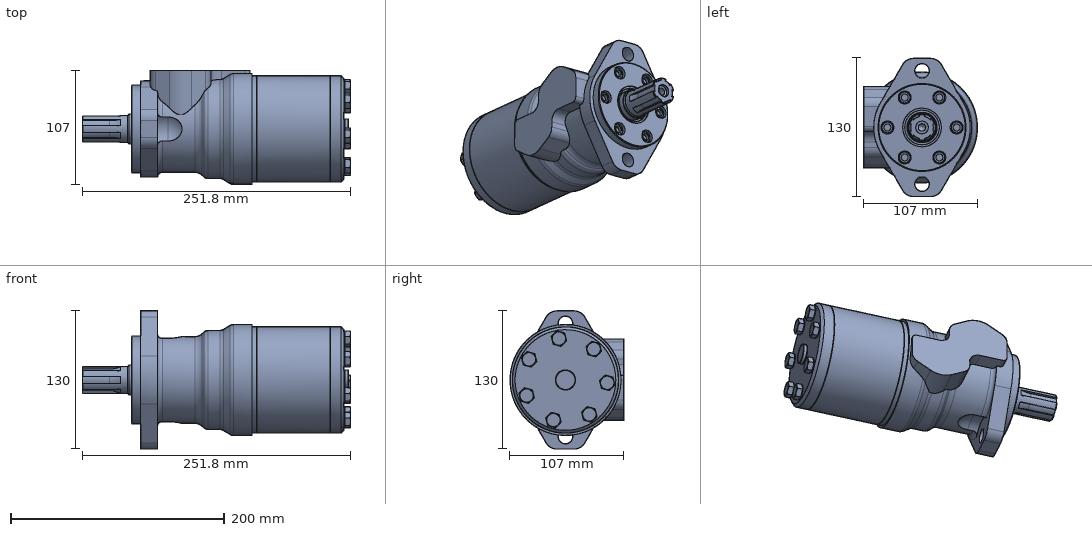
import cadquery as cq
import math


seal_lip_x = 42.3
seal_collar_x = 43.8
cover_x = 46.0
flange_x = 54.6
neck_x = 70.8
housing_end_x = 159.5
ring_x = 163.7
cap_x = 232.7
cap_end_x = 245.5
overall_length = 251.8

overall_width = 107.0
overall_height = 130.0

shaft_radius = 25.5 / 2
shaft_chamfer = 0.8
spline_count = 6
spline_slot_width = 6.3
spline_root_radius = 10.5
spline_flat_length = 25.7
spline_run_out_radius = 24.7
center_bore_radius = 11.8 / 2
center_bore_depth = 3.0
center_hole_radius = 7.0 / 2
center_hole_depth = 15.0

cover_radius = 41.3
cover_chamfer = 0.8
seal_lip_radius = 12.8
seal_root_radius = 13.5
seal_collar_radius = 28.5 / 2
seal_groove_radius = 32.5 / 2
seal_groove_depth = 4.0
seal_mouth_radius = 18.1
seal_mouth_depth = 1.0
screw_count = 6
screw_circle_radius = 32.5
screw_bore_radius = 12.0 / 2
screw_bore_depth = 4.0
screw_head_radius = 10.0 / 2
screw_head_height = 2.0
screw_socket_radius = 6.5 / 2
screw_socket_depth = 3.5

flange_radius = 45.3
flange_half_height = overall_height / 2
flange_side_angle = 30.0
flange_corner_radius = 12.0
flange_hole_radius = 13.3 / 2
flange_hole_offset = 53.1
relief_radius = 18.0
relief_end_x = 80.5

neck_radius = 40.8
neck_fillet = 4.3
shoulder_radius = 46.5
housing_radius = 52.0
neck_cone_start_x = 109.5
neck_cone_end_x = 115.8
shoulder_cone_start_x = 131.0
shoulder_cone_end_x = 140.0
neck_cone_inner_round = 9.3
neck_cone_outer_round = 5.8
shoulder_cone_round = 6.3

port_face_y = overall_width - housing_radius
block_center_x = 110.5
block_center_z = 0.3
lobe_x = 92.2
lobe_peak_z = 38.5
lobe_half_width = 28.5
lobe_slope = 30.0
lobe_peak_round = 20.6
lobe_side_round = 10.0
shelf_height = 4.0
shelf_inner_round = 10.0
shelf_outer_round = 4.5

barrel_radius = 100.0 / 2
seam_chamfer = 0.3
cap_chamfer = 2.8

bolt_count = 7
bolt_circle_radius = 39.3
first_bolt_angle = 99.0
bolt_flats = 13.0
bolt_turn = 14.0
bolt_washer_height = 0.8
bolt_chamfer_height = 0.8
bolt_chamfer_slope = 30.0
plug_neck_radius = 18.0 / 2
plug_radius = 19.0 / 2
plug_end_x = 249.8
plug_chamfer = 0.5

HEX_HALF_STEP = 30.0

MERGE_DISTANCE = 2.52e-06


def rounded_outline(plane, corners):
    """Closed outline from (u, v, radius) corners; a zero radius leaves the corner sharp."""
    pieces = []
    for i, (u, v, radius) in enumerate(corners):
        corner = cq.Vector(u, v)
        if radius == 0:
            pieces.append((corner, None, corner))
            continue
        before = cq.Vector(*corners[i - 1][:2])
        after = cq.Vector(*corners[(i + 1) % len(corners)][:2])
        to_before = (before - corner).normalized()
        to_after = (after - corner).normalized()
        half_angle = to_before.getAngle(to_after) / 2
        setback = radius / math.tan(half_angle)
        arc_gap = radius / math.sin(half_angle) - radius
        middle = corner + (to_before + to_after).normalized() * arc_gap
        pieces.append((corner + to_before * setback, middle, corner + to_after * setback))
    position = pieces[-1][2]
    outline = cq.Workplane(plane).moveTo(*position.toTuple()[:2])
    for start, middle, end in pieces:
        if (start - position).Length > MERGE_DISTANCE:
            outline = outline.lineTo(*start.toTuple()[:2])
        position = end
        if middle is not None:
            outline = outline.threePointArc(middle.toTuple()[:2], end.toTuple()[:2])
    return outline.close()


def revolve_about_x(corners):
    """Solid of revolution about X from (x, r, rounding) corners."""
    return rounded_outline("XY", corners).revolve(360, (0, 0, 0), (1, 0, 0))


def x_cylinder(start_x, end_x, radius):
    return cq.Workplane("YZ", origin=(start_x, 0, 0)).circle(radius).extrude(end_x - start_x)


def ring_points(count, radius, first_angle=0.0):
    """(y, z) points equally spaced on a circle, angles measured from +Y toward +Z."""
    angles = [math.radians(first_angle + 360 * i / count) for i in range(count)]
    return [(radius * math.cos(a), radius * math.sin(a)) for a in angles]


def spline_slots():
    """Slots with a round root that rise to the shaft surface along an arc."""
    slot_depth = shaft_radius - spline_root_radius
    run_out = math.sqrt(2 * spline_run_out_radius * slot_depth - slot_depth**2)
    half_run_out = run_out / 2
    middle_rise = spline_run_out_radius - math.sqrt(spline_run_out_radius**2 - half_run_out**2)
    end_x = spline_flat_length + run_out
    groove = (
        cq.Workplane("XY")
        .moveTo(0, spline_root_radius)
        .lineTo(spline_flat_length, spline_root_radius)
        .threePointArc(
            (spline_flat_length + half_run_out, spline_root_radius + middle_rise),
            (end_x, shaft_radius),
        )
        .lineTo(end_x, 2 * shaft_radius)
        .lineTo(0, 2 * shaft_radius)
        .close()
        .revolve(360, (0, 0, 0), (1, 0, 0))
    )
    bars = cq.Workplane("XY")
    for i in range(spline_count):
        bar = cq.Workplane("XY").box(
            end_x, 2 * shaft_radius, spline_slot_width, centered=(False, False, True)
        )
        bars = bars.add(bar.rotate((0, 0, 0), (1, 0, 0), 360 * i / spline_count))
    return bars.combine().intersect(groove)


def make_shaft():
    shaft = x_cylinder(0, flange_x, shaft_radius).faces("<X").chamfer(shaft_chamfer)
    shaft = shaft.cut(spline_slots())
    center_hole = revolve_about_x([
        (0, 0, 0),
        (0, center_bore_radius, 0),
        (center_bore_depth, center_bore_radius, 0),
        (center_bore_depth, center_hole_radius, 0),
        (center_hole_depth, center_hole_radius, 0),
        (center_hole_depth + center_hole_radius, 0, 0),
    ])
    return shaft.cut(center_hole)


def make_front_cover():
    cover = revolve_about_x([
        (seal_lip_x, shaft_radius, 0),
        (seal_lip_x, seal_lip_radius, 0),
        (seal_collar_x, seal_root_radius, 0),
        (seal_collar_x, seal_collar_radius, 0),
        (cover_x + seal_groove_depth, seal_collar_radius, 0),
        (cover_x + seal_groove_depth, seal_groove_radius, 0),
        (cover_x + seal_mouth_depth, seal_groove_radius, 0),
        (cover_x + seal_mouth_depth, seal_mouth_radius, 0),
        (cover_x, seal_mouth_radius, 0),
        (cover_x, cover_radius - cover_chamfer, 0),
        (cover_x + cover_chamfer, cover_radius, 0),
        (flange_x, cover_radius, 0),
        (flange_x, shaft_radius, 0),
    ])
    points = ring_points(screw_count, screw_circle_radius)
    front = cq.Workplane("YZ", origin=(cover_x, 0, 0)).pushPoints(points)
    cover = cover.cut(front.circle(screw_bore_radius).extrude(screw_bore_depth))
    seat_x = cover_x + screw_bore_depth
    seats = cq.Workplane("YZ", origin=(seat_x, 0, 0)).pushPoints(points)
    cover = cover.union(seats.circle(screw_head_radius).extrude(-screw_head_height))
    heads = cq.Workplane("YZ", origin=(seat_x - screw_head_height, 0, 0)).pushPoints(points)
    return cover.cut(heads.circle(screw_socket_radius).extrude(screw_socket_depth))


def flange_plate():
    """Plate with a round middle and straight sides tangent to it, tapering to both ends."""
    angle = math.radians(flange_side_angle)
    tangent_y = flange_radius * math.cos(angle)
    tangent_z = flange_radius * math.sin(angle)
    tip_y = (flange_radius - flange_half_height * math.sin(angle)) / math.cos(angle)
    thickness = neck_x - flange_x
    wings = rounded_outline(cq.Plane.named("YZ", origin=(flange_x, 0, 0)), [
        (tangent_y, -tangent_z, 0),
        (tangent_y, tangent_z, 0),
        (tip_y, flange_half_height, flange_corner_radius),
        (-tip_y, flange_half_height, flange_corner_radius),
        (-tangent_y, tangent_z, 0),
        (-tangent_y, -tangent_z, 0),
        (-tip_y, -flange_half_height, flange_corner_radius),
        (tip_y, -flange_half_height, flange_corner_radius),
    ]).extrude(thickness)
    return wings.union(x_cylinder(flange_x, neck_x, flange_radius))


def housing_barrel():
    """Turned body: flared neck, shoulder and full-size rim, joined by rounded cones."""
    flare_radius = neck_radius + neck_fillet
    return revolve_about_x([
        (flange_x, 0, 0),
        (flange_x, flare_radius, 0),
        (neck_x, flare_radius, 0),
        (neck_x, neck_radius, neck_fillet),
        (neck_cone_start_x, neck_radius, neck_cone_inner_round),
        (neck_cone_end_x, shoulder_radius, neck_cone_outer_round),
        (shoulder_cone_start_x, shoulder_radius, shoulder_cone_round),
        (shoulder_cone_end_x, housing_radius, shoulder_cone_round),
        (housing_end_x, housing_radius, 0),
        (housing_end_x, 0, 0),
    ])


def port_block():
    slope = math.radians(lobe_slope)
    apex_z = lobe_peak_z + lobe_peak_round * (1 / math.cos(slope) - 1)
    side_z = apex_z - lobe_half_width * math.tan(slope)
    outer_x = lobe_x - lobe_half_width
    inner_x = lobe_x + lobe_half_width
    upper_lobe = [
        (outer_x, block_center_z - shelf_height, shelf_outer_round),
        (outer_x, side_z, lobe_side_round),
        (lobe_x, apex_z, lobe_peak_round),
        (inner_x, side_z, lobe_side_round),
        (inner_x, block_center_z + shelf_height, shelf_inner_round),
    ]
    lower_lobe = [
        (2 * block_center_x - x, 2 * block_center_z - z, radius) for x, z, radius in upper_lobe
    ]
    return rounded_outline("XZ", upper_lobe + lower_lobe).extrude(-port_face_y)


def wrench_relief(z):
    """Round-ended clearance in the neck behind a flange hole."""
    channel = x_cylinder(neck_x, relief_end_x, relief_radius)
    ball = cq.Workplane("XY", origin=(relief_end_x, 0, 0)).sphere(relief_radius)
    behind_flange = cq.Workplane("YZ", origin=(neck_x, 0, 0)).rect(
        4 * relief_radius, 4 * relief_radius
    ).extrude(4 * relief_radius)
    return channel.union(ball).intersect(behind_flange).translate((0, 0, z))


def make_housing():
    housing = housing_barrel().union(port_block())
    for z in (-flange_hole_offset, flange_hole_offset):
        housing = housing.cut(wrench_relief(z))
    housing = housing.union(flange_plate())
    for z in (-flange_hole_offset, flange_hole_offset):
        hole = x_cylinder(flange_x, neck_x, flange_hole_radius)
        housing = housing.cut(hole.translate((0, 0, z)))
    return housing


def make_spacer_plate():
    return x_cylinder(housing_end_x, ring_x, barrel_radius).faces(">X").chamfer(seam_chamfer)


def make_gear_ring():
    return x_cylinder(ring_x, cap_x, barrel_radius).faces("<X or >X").chamfer(seam_chamfer)


def bolt():
    """Hex head with a washer face and a chamfered top, centred on the X axis."""
    corner_radius = bolt_flats / math.sqrt(3)
    washer_end_x = cap_end_x + bolt_washer_height
    chamfer_width = bolt_chamfer_height / math.tan(math.radians(bolt_chamfer_slope))
    head = (
        cq.Workplane("YZ", origin=(washer_end_x, 0, 0))
        .polygon(6, 2 * corner_radius)
        .extrude(overall_length - washer_end_x)
        .rotate((0, 0, 0), (1, 0, 0), HEX_HALF_STEP + bolt_turn)
    )
    dome = x_cylinder(washer_end_x, overall_length, corner_radius)
    dome = dome.faces(">X").chamfer(bolt_chamfer_height, chamfer_width)
    return head.intersect(dome).union(x_cylinder(cap_end_x, washer_end_x, bolt_flats / 2))


def make_end_cap():
    cap = x_cylinder(cap_x, cap_end_x, barrel_radius)
    cap = cap.faces("<X").chamfer(seam_chamfer).faces(">X").chamfer(cap_chamfer)
    for y, z in ring_points(bolt_count, bolt_circle_radius, first_bolt_angle):
        cap = cap.union(bolt().translate((0, y, z)))
    plug_x = cap_end_x + bolt_washer_height
    plug = x_cylinder(plug_x, plug_end_x, plug_radius).faces(">X").chamfer(plug_chamfer)
    return cap.union(x_cylinder(cap_end_x, plug_x, plug_neck_radius)).union(plug)


shaft = make_shaft()
front_cover = make_front_cover()
housing = make_housing()
spacer_plate = make_spacer_plate()
gear_ring = make_gear_ring()
end_cap = make_end_cap()

result = cq.Compound.makeCompound([
    shaft.val(),
    front_cover.val(),
    housing.val(),
    spacer_plate.val(),
    gear_ring.val(),
    end_cap.val(),
])